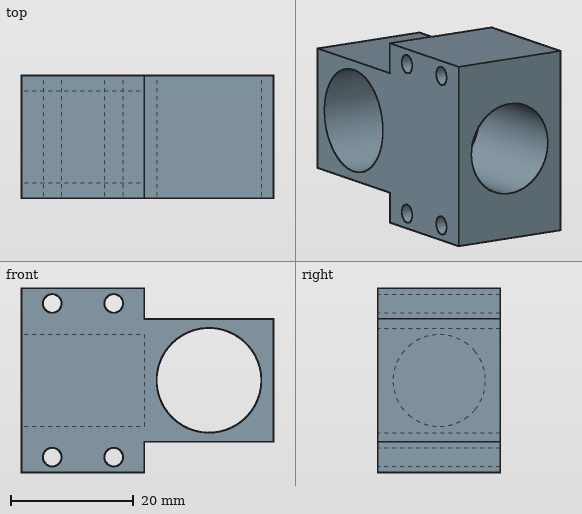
import cadquery as cq

depth = 20.0
block_length = 20.0
block_height = 30.0
arm_length = 21.0
arm_height = 20.0

cross_bore_diameter = 17.0
cross_bore_x = block_length + arm_length / 2

end_bore_diameter = 15.0
end_bore_depth = block_length

screw_hole_diameter = 3.0
screw_spacing_x = 10.0
screw_spacing_z = 25.0


def box_from(x_start, length, height):
    """Box starting at x_start, centred on the X axis in Y and Z."""
    box = cq.Workplane("XY").box(length, depth, height, centered=(False, True, True))
    return box.translate((x_start, 0, 0))


def hole_along_y(x, z, diameter):
    """Cylinder spanning the full depth of the part at (x, z)."""
    return cq.Workplane("XZ").center(x, z).circle(diameter / 2).extrude(depth / 2, both=True)


def make_body():
    """Tall clamp block with a lower arm on its +X side."""
    block = box_from(0, block_length, block_height)
    arm = box_from(block_length, arm_length, arm_height)
    return block.union(arm)


def cut_bores(body):
    """Cut the cross bore through the arm and the blind bore in the block."""
    end_bore = cq.Workplane("YZ").circle(end_bore_diameter / 2).extrude(end_bore_depth)
    cross_bore = hole_along_y(cross_bore_x, 0, cross_bore_diameter)
    return body.cut(cross_bore).cut(end_bore)


def cut_screw_holes(body):
    """Cut four screw holes in a rectangle centred on the block."""
    for x_side in (-1, 1):
        for z_side in (-1, 1):
            x = block_length / 2 + x_side * screw_spacing_x / 2
            z = z_side * screw_spacing_z / 2
            body = body.cut(hole_along_y(x, z, screw_hole_diameter))
    return body


result = cut_screw_holes(cut_bores(make_body()))